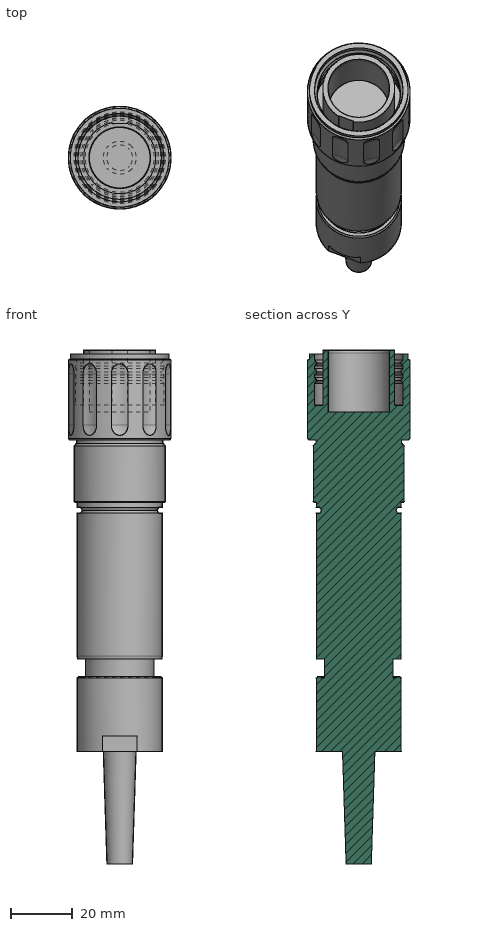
import cadquery as cq

total_height = 167.0

cable_tip_radius = 4.2
cable_root_radius = 5.3

clamp_radius = 13.9
clamp_bottom = 36.5
clamp_top = 61.0
clamp_chamfer = 0.5
clamp_recess_radius = 12.2
clamp_recess_depth = 0.3
flat_distance = 12.7
flat_height = 5.0

rear_neck_radius = 11.2

barrel_radius = clamp_radius
barrel_bottom = 66.6
barrel_top = 114.0
barrel_chamfer_height = 1.0
barrel_chamfer_width = 0.2

front_neck_radius = 12.7
front_neck_waist_radius = 12.2
flange_bottom = 115.8

collar_radius = 14.9
collar_bottom = 117.5
collar_top = 136.5
collar_top_chamfer = 0.7
collar_bottom_chamfer = 0.3

ring_radius = 16.7
ring_bottom = 137.7
ring_shoulder = 163.8
ring_top = 165.8
ring_rim_radius = 16.0
ring_shoulder_rise = 0.3
ring_chamfer = 0.5
ring_neck_radius = 14.0

sleeve_radius = 11.7
bore_radius = 9.8
bore_depth = 20.0
mouth_width = 0.2
mouth_height = 0.8
gap_radius = 14.4
gap_depth = 16.7

ridge_count = 3
ridge_pitch = 2.8
ridge_height = 0.8
ridge_half_width = 1.0
first_ridge_depth = 3.0

keyway_width = 5.0
keyway_depth = 0.5

flute_count = 10
flute_radius = 8.3
flute_floor_radius = 16.0
flute_center_height = 150.9
flute_straight_length = 16.7


def turned(profile):
    """Solid of revolution about Z from a closed list of (radius, height) points."""
    return cq.Workplane("XZ").polyline(profile).close().revolve(360, (0, 0, 0), (0, 1, 0))


def turned_body():
    """Outer profile of the whole connector, turned about Z."""
    profile = [
        (0, 0),
        (cable_tip_radius, 0),
        (cable_root_radius, clamp_bottom),
        (clamp_radius, clamp_bottom),
        (clamp_radius, clamp_top - clamp_chamfer),
        (clamp_radius - clamp_chamfer, clamp_top),
        (clamp_recess_radius, clamp_top),
        (clamp_recess_radius, clamp_top - clamp_recess_depth),
        (rear_neck_radius, clamp_top - clamp_recess_depth),
        (rear_neck_radius, barrel_bottom),
        (barrel_radius - barrel_chamfer_width, barrel_bottom),
        (barrel_radius, barrel_bottom + barrel_chamfer_height),
        (barrel_radius, barrel_top),
        (front_neck_radius, barrel_top),
        (front_neck_waist_radius, (barrel_top + flange_bottom) / 2),
        (front_neck_radius, flange_bottom),
        (barrel_radius, flange_bottom),
        (barrel_radius, collar_bottom),
        (collar_radius - collar_bottom_chamfer, collar_bottom),
        (collar_radius, collar_bottom + collar_bottom_chamfer),
        (collar_radius, collar_top - collar_top_chamfer),
        (collar_radius - collar_top_chamfer, collar_top),
        (ring_neck_radius, collar_top),
        (ring_neck_radius, ring_bottom),
        (ring_radius - ring_chamfer, ring_bottom),
        (ring_radius, ring_bottom + ring_chamfer),
        (ring_radius, ring_shoulder),
        (ring_rim_radius, ring_shoulder + ring_shoulder_rise),
        (ring_rim_radius, ring_top),
        (sleeve_radius, ring_top),
        (sleeve_radius, total_height),
        (0, total_height),
    ]
    return turned(profile)


def socket_cuts():
    """Flared sleeve bore, annular gap around the sleeve, and keyway."""
    bore_profile = [
        (0, total_height - bore_depth),
        (bore_radius, total_height - bore_depth),
        (bore_radius, total_height - mouth_height),
        (bore_radius + mouth_width, total_height),
        (0, total_height),
    ]
    bore = turned(bore_profile)
    gap = (
        cq.Workplane("XY")
        .workplane(offset=ring_top - gap_depth)
        .circle(gap_radius)
        .circle(sleeve_radius)
        .extrude(gap_depth)
    )
    keyway = (
        cq.Workplane("XY")
        .workplane(offset=ring_top - gap_depth)
        .center(0, sleeve_radius)
        .rect(keyway_width, 2 * keyway_depth)
        .extrude(gap_depth + total_height - ring_top)
    )
    return bore.union(gap).union(keyway)


def inner_ridge(height):
    """Triangular ridge on the inner wall of the coupling ring."""
    root_radius = (gap_radius + ring_rim_radius) / 2
    section = [
        (root_radius, height - ridge_half_width),
        (gap_radius, height - ridge_half_width),
        (gap_radius - ridge_height, height),
        (gap_radius, height + ridge_half_width),
        (root_radius, height + ridge_half_width),
    ]
    return turned(section)


def grip_flute():
    """One flute cutter on the -Y side: a cylinder with spherical ends."""
    axis_distance = flute_floor_radius + flute_radius
    capsule = (
        cq.Workplane("XY")
        .circle(flute_radius)
        .extrude(flute_straight_length / 2, both=True)
    )
    for end in (-1, 1):
        ball = cq.Workplane("XY").sphere(flute_radius)
        capsule = capsule.union(ball.translate((0, 0, end * flute_straight_length / 2)))
    return capsule.translate((0, -axis_distance, flute_center_height))


def wrench_flat(side):
    """Material outside one wrench flat; side is -1 for -Y and +1 for +Y."""
    depth = clamp_radius - flat_distance
    block = cq.Workplane("XY").box(2 * clamp_radius, depth, flat_height, centered=(True, True, False))
    return block.translate((0, side * (flat_distance + depth / 2), clamp_bottom))


result = turned_body().cut(socket_cuts())

for index in range(ridge_count):
    result = result.union(inner_ridge(ring_top - first_ridge_depth - index * ridge_pitch))

for index in range(flute_count):
    angle = index * 360 / flute_count
    result = result.cut(grip_flute().rotate((0, 0, 0), (0, 0, 1), angle))

for side in (-1, 1):
    result = result.cut(wrench_flat(side))